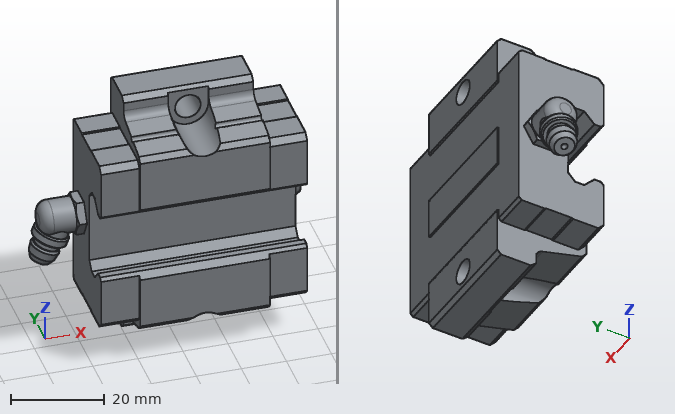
import math

import cadquery as cq


BLOCK_LENGTH = 28.8
BLOCK_DEPTH = 22.0
FLANGE_HALF_WIDTH = 29.5
FLANGE_DEPTH = 9.6
BACK_CHAMFER = 0.95
FLANGE_CHAMFER_DEPTH = 1.35
FLANGE_CHAMFER_WIDTH = 1.1
FLANK_ANGLE = math.radians(15)
FLANK_END_DEPTH = 20.9
FLANK_END_HALF_WIDTH = 21.9
FRONT_HALF_WIDTH = 20.75
FLANGE_ROOT_RADIUS = 2.0

RELIEF_DEPTH = 0.35
RELIEF_INNER = 4.9
RELIEF_OUTER = 17.7
RELIEF_SLOPE = 0.25

MARKER_DEPTH = 16.0
MARKER_RADIUS = 0.7

CHANNEL_FLOOR_DEPTH = 12.5
CHANNEL_FLOOR_HALF_WIDTH = 8.25
UNDERCUT_START_DEPTH = 14.2
UNDERCUT_END_DEPTH = 16.5
UNDERCUT_HALF_WIDTH = 10.1
LIP_START_DEPTH = 18.95
LIP_END_DEPTH = 20.55
LIP_HALF_WIDTH = 7.5

CAP_LENGTH = 8.5
CAP_BACK_DEPTH = 0.35
CAP_FRONT_DEPTH = 21.3
CAP_HALF_WIDTH = 20.5
CAP_BACK_CHAMFER = 0.7
CAP_FRONT_CHAMFER = 1.35
CAP_RECESS = 0.2
CAP_RECESS_START = 6.7
CAP_RECESS_END = 13.75
CAP_RECESS_SLOPE = 0.35

HOLE_Z = 24.55
HOLE_DIAMETER = 5.7
SEAT_DIAMETER = 9.0
SEAT_DEPTH = 9.05

PORT_DEPTH = 6.2
PLUG_BASE_DIAMETER = 8.35
PLUG_MIDDLE_DIAMETER = 7.65
PLUG_MIDDLE_HEIGHT = 1.2
PLUG_FACE_DIAMETER = 6.6
PLUG_HEIGHT = 2.1

HEX_ACROSS_FLATS = 8.0
HEX_HEIGHT = 2.1
HEX_CHAMFER_ANGLE = math.radians(30)
ELBOW_DIAMETER = 7.8
ELBOW_LENGTH = 9.6
ELBOW_ROUNDING = 2.5
SPOUT_OFFSET = 5.0
SPOUT_TILT = 22.5
SPOUT_ROOT_RADIUS = 3.5
COLLAR_START = 3.6
COLLAR_END = 5.85
COLLAR_RADIUS = 4.0
COLLAR_CHAMFER = 0.35
NECK_RADIUS = 2.755
NECK_END = 7.25
HEAD_EDGE_RADIUS = 3.0
HEAD_RADIUS = 3.3
HEAD_TAPER_START = 7.8
HEAD_CONE_RADIUS = 3.0
HEAD_CONE_START = 9.65
TIP_RADIUS = 2.25
SPOUT_LENGTH = 11.0
TIP_HOLE_DIAMETER = 1.4
TIP_HOLE_DEPTH = 0.5

CAP_FACE_X = BLOCK_LENGTH / 2 + CAP_LENGTH


def symmetric_prism(half_outline, length):
    """Extrude a (depth, half width) outline and its mirror image, centred along X."""
    upper = [(-depth, half_width) for depth, half_width in half_outline]
    lower = [(y, -z) for y, z in reversed(upper)]
    return cq.Workplane("YZ").polyline(upper + lower).close().extrude(length / 2, both=True)


def flank_half_width(depth):
    """Half width of the sloping flank at a given depth."""
    return FLANK_END_HALF_WIDTH + (FLANK_END_DEPTH - depth) * math.tan(FLANK_ANGLE)


def make_block():
    block = symmetric_prism(
        [
            (0, FLANGE_HALF_WIDTH - BACK_CHAMFER),
            (BACK_CHAMFER, FLANGE_HALF_WIDTH),
            (FLANGE_DEPTH - FLANGE_CHAMFER_DEPTH, FLANGE_HALF_WIDTH),
            (FLANGE_DEPTH, FLANGE_HALF_WIDTH - FLANGE_CHAMFER_WIDTH),
            (FLANGE_DEPTH, flank_half_width(FLANGE_DEPTH)),
            (FLANK_END_DEPTH, FLANK_END_HALF_WIDTH),
            (BLOCK_DEPTH, FRONT_HALF_WIDTH),
        ],
        BLOCK_LENGTH,
    )
    for side in (1, -1):
        root = (0, -FLANGE_DEPTH, side * flank_half_width(FLANGE_DEPTH))
        block = block.edges(cq.selectors.NearestToPointSelector(root)).fillet(FLANGE_ROOT_RADIUS)
        relief = [
            (0, side * RELIEF_INNER),
            (-RELIEF_DEPTH, side * RELIEF_INNER),
            (-RELIEF_DEPTH, side * (RELIEF_OUTER - RELIEF_SLOPE)),
            (0, side * RELIEF_OUTER),
        ]
        block = block.cut(cq.Workplane("YZ").polyline(relief).close().extrude(BLOCK_LENGTH, both=True))

    marker = (
        cq.Workplane("YZ")
        .center(-MARKER_DEPTH, flank_half_width(MARKER_DEPTH))
        .circle(MARKER_RADIUS)
        .extrude(BLOCK_LENGTH, both=True)
    )
    return block.cut(marker)


def make_caps():
    """One prism spanning both end caps; the block fills its middle."""
    recess_half_width = CAP_HALF_WIDTH - CAP_RECESS
    return symmetric_prism(
        [
            (CAP_BACK_DEPTH, CAP_HALF_WIDTH - CAP_BACK_CHAMFER),
            (CAP_BACK_DEPTH + CAP_BACK_CHAMFER, CAP_HALF_WIDTH),
            (CAP_RECESS_START, CAP_HALF_WIDTH),
            (CAP_RECESS_START + CAP_RECESS_SLOPE, recess_half_width),
            (CAP_RECESS_END - CAP_RECESS_SLOPE, recess_half_width),
            (CAP_RECESS_END, CAP_HALF_WIDTH),
            (CAP_FRONT_DEPTH - CAP_FRONT_CHAMFER, CAP_HALF_WIDTH),
            (CAP_FRONT_DEPTH, CAP_HALF_WIDTH - CAP_FRONT_CHAMFER),
        ],
        2 * CAP_FACE_X,
    )


def make_channel():
    """Rail channel cutter with undercuts behind the lips and a 45 degree mouth."""
    mouth_half_width = LIP_HALF_WIDTH + BLOCK_DEPTH - LIP_END_DEPTH
    return symmetric_prism(
        [
            (CHANNEL_FLOOR_DEPTH, CHANNEL_FLOOR_HALF_WIDTH),
            (UNDERCUT_START_DEPTH, UNDERCUT_HALF_WIDTH),
            (UNDERCUT_END_DEPTH, UNDERCUT_HALF_WIDTH),
            (LIP_START_DEPTH, LIP_HALF_WIDTH),
            (LIP_END_DEPTH, LIP_HALF_WIDTH),
            (BLOCK_DEPTH, mouth_half_width),
        ],
        2 * CAP_FACE_X,
    )


def make_mounting_hole(side):
    """Through hole with a U-shaped seat that opens outwards; side is +1 or -1 along Z."""
    hole = cq.Workplane("XZ").center(0, side * HOLE_Z).circle(HOLE_DIAMETER / 2).extrude(BLOCK_DEPTH)
    seat_plane = cq.Workplane("XZ", origin=(0, -SEAT_DEPTH, 0))
    seat_height = BLOCK_DEPTH - SEAT_DEPTH
    seat = seat_plane.center(0, side * HOLE_Z).circle(SEAT_DIAMETER / 2).extrude(seat_height)
    opening = (
        seat_plane.center(0, side * (HOLE_Z + SEAT_DIAMETER / 2))
        .rect(SEAT_DIAMETER, SEAT_DIAMETER)
        .extrude(seat_height)
    )
    return hole.union(seat).union(opening)


def make_plug():
    """Domed plug on the +X cap."""
    base_radius = PLUG_BASE_DIAMETER / 2
    face_radius = PLUG_FACE_DIAMETER / 2
    middle_point = (PLUG_MIDDLE_DIAMETER / 2, PLUG_MIDDLE_HEIGHT)
    profile = (
        cq.Workplane("XY")
        .lineTo(base_radius, 0)
        .threePointArc(middle_point, (face_radius, PLUG_HEIGHT))
        .lineTo(0, PLUG_HEIGHT)
        .close()
    )
    plug = profile.revolve(360, (0, 0, 0), (0, 1, 0))
    return plug.rotate((0, 0, 0), (0, 0, 1), -90).translate((CAP_FACE_X, -PORT_DEPTH, 0))


def make_hex():
    """Hexagon against the -X cap, flats facing +Z and -Z, outer corners chamfered."""
    base = cq.Workplane("YZ", origin=(-CAP_FACE_X, -PORT_DEPTH, 0))
    corner_diameter = HEX_ACROSS_FLATS / math.cos(math.pi / 6)
    hexagon = base.polygon(6, corner_diameter).extrude(-HEX_HEIGHT)
    corner_radius = corner_diameter / 2
    inner_radius = ELBOW_DIAMETER / 2
    chamfer_height = (corner_radius - inner_radius) * math.tan(HEX_CHAMFER_ANGLE)
    envelope = (
        base.circle(corner_radius)
        .extrude(-HEX_HEIGHT)
        .faces("<X")
        .chamfer(chamfer_height, corner_radius - inner_radius)
    )
    return hexagon.intersect(envelope)


def make_spout():
    """Tilted nipple spout, revolved about its axis and starting on the elbow axis."""
    collar_end_radius = COLLAR_RADIUS - COLLAR_CHAMFER
    profile = [
        (0, 0),
        (SPOUT_ROOT_RADIUS, 0),
        (SPOUT_ROOT_RADIUS, COLLAR_START),
        (collar_end_radius, COLLAR_START),
        (COLLAR_RADIUS, COLLAR_START + COLLAR_CHAMFER),
        (COLLAR_RADIUS, COLLAR_END - COLLAR_CHAMFER),
        (collar_end_radius, COLLAR_END),
        (NECK_RADIUS, COLLAR_END),
        (NECK_RADIUS, NECK_END),
        (HEAD_EDGE_RADIUS, NECK_END),
        (HEAD_RADIUS, HEAD_TAPER_START),
        (HEAD_CONE_RADIUS, HEAD_CONE_START),
        (TIP_RADIUS, SPOUT_LENGTH),
        (TIP_HOLE_DIAMETER / 2, SPOUT_LENGTH),
        (0, SPOUT_LENGTH - TIP_HOLE_DEPTH),
    ]
    upright = cq.Workplane("XZ").polyline(profile).close().revolve(360, (0, 0, 0), (0, 1, 0))
    tilted = upright.rotate((0, 0, 0), (0, 1, 0), 180 + SPOUT_TILT)
    return tilted.translate((-CAP_FACE_X - SPOUT_OFFSET, -PORT_DEPTH, 0))


def make_nipple():
    elbow = (
        cq.Workplane("YZ", origin=(-CAP_FACE_X, -PORT_DEPTH, 0))
        .circle(ELBOW_DIAMETER / 2)
        .extrude(-ELBOW_LENGTH)
        .faces("<X")
        .edges()
        .fillet(ELBOW_ROUNDING)
    )
    return make_hex().union(elbow).union(make_spout())


carriage = make_block().union(make_caps()).cut(make_channel())
for hole_side in (1, -1):
    carriage = carriage.cut(make_mounting_hole(hole_side))
result = carriage.union(make_plug()).union(make_nipple())